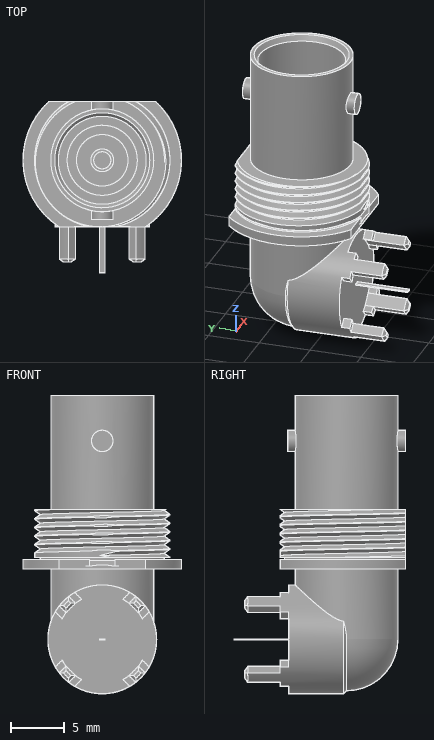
import cadquery as cq
import math


top_z = 22.75
back_flat_y = 5.5
front_flat_y = -6.2
tail_end_y = -10.5
leg_end_y = -9.5

barrel_radius = 4.8
rim_radius = 4.43
socket_radius = 4.1
rim_taper_depth = 0.53
socket_depth = 8.5

insulator_radius = 2.4
insulator_recess = 3.33
shoulder_radius = 3.27
shoulder_recess = 6.0
contact_hole_radius = 1.06
contact_radius = 0.8

stud_radius = 1.0
stud_z = top_z - 4.25

flange_radius = 7.4
flange_bottom_z = 6.54
flange_top_z = 7.46

thread_radius = 6.31
thread_root_radius = 5.8
thread_bottom_z = 7.62
thread_top_z = 12.12
thread_pitch = 0.8
thread_start_angle = -71.0
thread_datum_z = 8.03
thread_start_z = thread_datum_z + thread_pitch * thread_start_angle / 360
groove_width = 0.74
groove_clearance = 0.02
run_out_overshoot = 1.5

relief_outer_z = 6.83
relief_inner_z = 7.36

outlet_radius = 5.08
outlet_face_y = -5.4
outlet_chamfer = outlet_radius - barrel_radius

leg_angles = (45, 135, 225, 315)
pad_inner_radius = 4.2
pad_width = 2.56
leg_width = 1.25
leg_inner_radius = 4.15
leg_chamfer = 0.3

tail_width = 0.53
tail_thickness = 0.12


def cylinder_z(radius, bottom_z, upper_z):
    """Cylinder on the barrel axis."""
    return cq.Workplane("XY").workplane(offset=bottom_z).circle(radius).extrude(upper_z - bottom_z)


def box_towards_front(width, height, start_y, end_y, x=0.0, z=0.0):
    """Box of the given X width and Z height running from start_y to end_y."""
    return cq.Workplane("XY").box(width, start_y - end_y, height).translate((x, (start_y + end_y) / 2, z))


def make_elbow():
    """Barrel with a rounded lower end, joined to the chamfered outlet cylinder."""
    barrel = cylinder_z(barrel_radius, 0, top_z)
    rounded_end = cq.Workplane("XY").sphere(barrel_radius)
    outlet = cq.Workplane("XZ").circle(outlet_radius).extrude(-outlet_face_y)
    outlet = outlet.faces(">Y").chamfer(outlet_chamfer)
    return barrel.union(rounded_end).union(outlet)


def make_socket_void():
    """Tapered socket, less the stepped insulator and the contact left standing in it."""
    floor_z = top_z - socket_depth
    insulator_z = top_z - insulator_recess
    void = (
        cq.Workplane("XZ")
        .moveTo(0, floor_z)
        .lineTo(socket_radius, floor_z)
        .lineTo(socket_radius, top_z - rim_taper_depth)
        .lineTo(rim_radius, top_z)
        .lineTo(0, top_z)
        .close()
        .revolve(360, (0, 0, 0), (0, 1, 0))
    )
    shoulder = cylinder_z(shoulder_radius, floor_z, top_z - shoulder_recess)
    insulator = cylinder_z(insulator_radius, floor_z, insulator_z)
    contact_hole = cylinder_z(contact_hole_radius, floor_z, insulator_z)
    contact = cylinder_z(contact_radius, floor_z, insulator_z)
    return void.cut(shoulder).cut(insulator).union(contact_hole).cut(contact)


def make_thread_cutters():
    """Cutters for the right-hand V groove with a straight tangential run-out at its lower end."""
    slope = groove_width / 2 / (thread_radius - thread_root_radius)
    outer_radius = thread_radius + groove_clearance
    half_width = slope * (outer_radius - thread_root_radius)
    profile = cq.Workplane("XZ").polyline(
        [(thread_root_radius, 0), (outer_radius, half_width), (outer_radius, -half_width)]
    ).close()
    groove_height = thread_top_z + thread_pitch - thread_start_z
    helix = cq.Wire.makeHelix(thread_pitch, groove_height, thread_root_radius)
    groove = profile.sweep(cq.Workplane(helix), isFrenet=True)

    lead_angle = math.atan(thread_pitch / (2 * math.pi * thread_root_radius))
    exit_distance = math.sqrt(outer_radius**2 - thread_root_radius**2)
    run_out_length = run_out_overshoot * exit_distance
    run_out_end = cq.Vector(0, -run_out_length, -run_out_length * math.tan(lead_angle))
    run_out = cq.Workplane(cq.Solid.extrudeLinear(profile.val(), [], run_out_end))
    cutters = [groove, run_out]
    return [
        cutter.rotate((0, 0, 0), (0, 0, 1), thread_start_angle).translate((0, 0, thread_start_z))
        for cutter in cutters
    ]


def make_threaded_collar():
    """Flange, narrow neck and threaded collar, trimmed by the front and back flats."""
    flange = cylinder_z(flange_radius, flange_bottom_z, flange_top_z)
    neck = cylinder_z(thread_root_radius, flange_top_z, thread_bottom_z)
    collar = cylinder_z(thread_radius, thread_bottom_z, thread_top_z)
    for cutter in make_thread_cutters():
        collar = collar.cut(cutter)

    relief = (
        cq.Workplane("XZ")
        .polyline(
            [
                (thread_root_radius, relief_inner_z),
                (thread_radius, relief_outer_z),
                (thread_radius, flange_top_z),
                (thread_root_radius, flange_top_z),
            ]
        )
        .close()
        .revolve(360, (0, 0, 0), (0, 1, 0))
    )
    flats = box_towards_front(2 * flange_radius, 2 * thread_top_z, back_flat_y, front_flat_y)
    return flange.cut(relief).union(neck).union(collar).intersect(flats)


def make_studs():
    """Bayonet studs on the front and back of the barrel."""
    studs = cq.Workplane("XZ").center(0, stud_z).circle(stud_radius).extrude(back_flat_y, both=True)
    return studs.cut(cylinder_z(socket_radius, flange_top_z, top_z))


def make_legs():
    """Four standoff pads, each carrying a chamfered leg, rounded to the outlet on the outside."""
    pad_ring = cq.Workplane("XZ").circle(outlet_radius).circle(pad_inner_radius).extrude(-front_flat_y)
    leg_envelope = cq.Workplane("XZ").circle(outlet_radius).extrude(-leg_end_y)

    pad_window = box_towards_front(
        outlet_radius, pad_width, outlet_face_y, front_flat_y, x=outlet_radius / 2
    )
    leg_thickness = outlet_radius - leg_inner_radius
    leg_centre_radius = (outlet_radius + leg_inner_radius) / 2
    leg = box_towards_front(leg_thickness, leg_width, outlet_face_y, leg_end_y, x=leg_centre_radius)
    leg = leg.faces("<Y").chamfer(leg_chamfer)

    legs = cq.Workplane("XY")
    for angle in leg_angles:
        turned_window = pad_window.rotate((0, 0, 0), (0, 1, 0), angle)
        turned_leg = leg.rotate((0, 0, 0), (0, 1, 0), angle)
        legs = legs.union(pad_ring.intersect(turned_window))
        legs = legs.union(leg_envelope.intersect(turned_leg))
    return legs


def make_tail():
    """Thin solder tail on the outlet axis."""
    return box_towards_front(tail_width, tail_thickness, outlet_face_y, tail_end_y)


result = (
    make_elbow()
    .union(make_threaded_collar())
    .union(make_studs())
    .cut(make_socket_void())
    .union(make_legs())
    .union(make_tail())
)